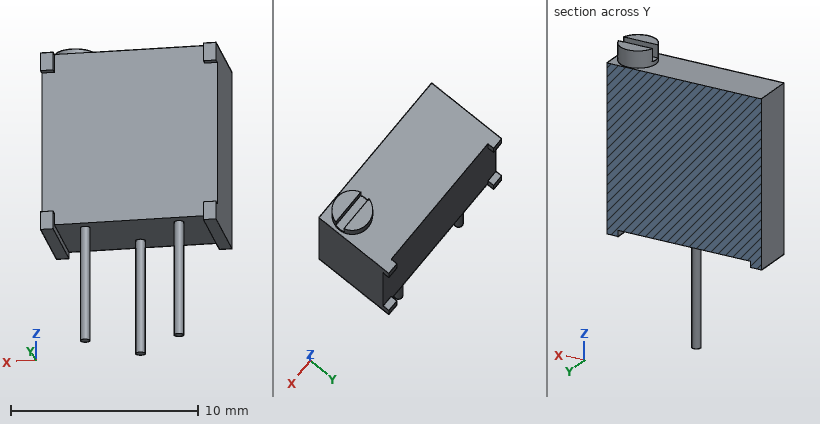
import cadquery as cq

width = 9.53
depth = 4.83
total_height = 17.07
screw_height = 1.0
pin_length = 6.05
housing_height = total_height - screw_height - pin_length

standoff_width = 0.68
bottom_recess = 0.35
back_recess = 0.4
back_pad_height = 1.0

screw_diameter = 2.18
screw_edge_distance = 1.26
screw_front_distance = 1.28
slot_width = 0.56
slot_depth = 0.77

pin_diameter = 0.51
pin_pitch = 2.55
front_pin_y = 1.13
back_pin_y = front_pin_y + pin_pitch


def box_between(low, high):
    """Box spanning two opposite corners."""
    size = [b - a for a, b in zip(low, high)]
    return cq.Workplane("XY").box(*size, centered=False).translate(low)


def make_housing():
    half_width = width / 2
    inner_half_width = half_width - standoff_width
    back_floor = depth - back_recess
    bottom = -housing_height

    housing = box_between((-half_width, 0, bottom), (half_width, depth, 0))
    bottom_channel = box_between(
        (-inner_half_width, 0, bottom), (inner_half_width, depth, bottom + bottom_recess)
    )
    upright_back_channel = box_between(
        (-inner_half_width, back_floor, bottom), (inner_half_width, depth, 0)
    )
    cross_back_channel = box_between(
        (-half_width, back_floor, bottom + back_pad_height), (half_width, depth, -back_pad_height)
    )
    return housing.cut(bottom_channel).cut(upright_back_channel).cut(cross_back_channel)


def make_screw():
    screw = cq.Workplane("XY").circle(screw_diameter / 2).extrude(screw_height)
    slot = (
        cq.Workplane("XY")
        .workplane(offset=screw_height - slot_depth)
        .rect(screw_diameter, slot_width)
        .extrude(slot_depth)
    )
    return screw.cut(slot).translate((width / 2 - screw_edge_distance, screw_front_distance, 0))


def make_pins():
    pin_centres = [(-pin_pitch, back_pin_y), (0, front_pin_y), (pin_pitch, back_pin_y)]
    return (
        cq.Workplane("XY")
        .workplane(offset=-housing_height - pin_length)
        .pushPoints(pin_centres)
        .circle(pin_diameter / 2)
        .extrude(pin_length + bottom_recess)
    )


result = make_housing().union(make_screw()).union(make_pins())